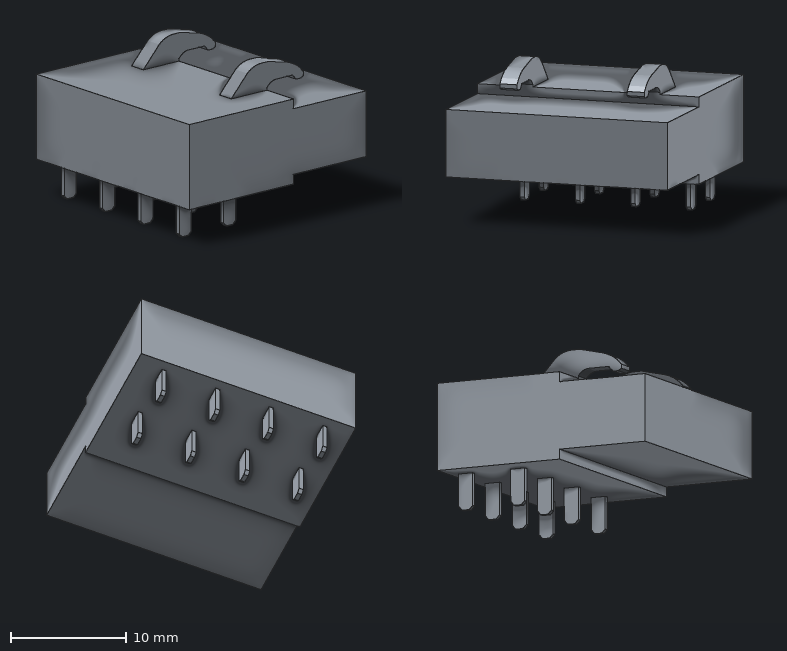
import cadquery as cq


housing_width = 20.32
housing_depth = 20.25
front_depth = 11.93
front_height = 7.7
step_height = 0.87

latch_width = 1.56
latch_spacing = 11.66
latch_height = 2.56
latch_front_y = 7.86
ramp_end_y = 9.67
ramp_end_height = 1.93
crest_front_y = 11.32
crest_rear_y = 12.1
slope_start_y = 12.27
slope_start_height = 2.52
slope_end_y = 14.35
slope_end_height = 2.05
nose_mid_y = 15.04
nose_mid_height = 1.79
nose_start_y = 15.73
nose_start_height = 1.32
tip_y = 16.13
tip_top_height = 0.9
tip_bottom_height = 0.53
hook_bottom_rear_y = 15.8
hook_bottom_front_y = 15.28
hook_bottom_height = 0.35
underside_rear_y = 14.85
underside_front_y = 12.86
underside_height = 0.8
elbow_y = 12.27
elbow_height = 0.55
root_height = 0.2

pin_columns = 4
pin_rows = 2
pin_pitch = 5.08
pin_thickness = 0.4
pin_depth = 1.38
pin_length = 3.21
pin_chamfer = 0.33
first_row_y = 1.56


def make_latch(center_x):
    """Hooked latch arm standing on the front block and reaching back over the plug block."""

    def point(y, height):
        return (y, front_height + height)

    outline = (
        cq.Workplane("YZ", origin=(center_x - latch_width / 2, 0, 0))
        .moveTo(*point(crest_rear_y, latch_height))
        .lineTo(*point(crest_front_y, latch_height))
        .tangentArcPoint(point(ramp_end_y, ramp_end_height), relative=False)
        .lineTo(*point(latch_front_y, 0))
        .lineTo(*point(front_depth, 0))
        .lineTo(*point(front_depth, root_height))
        .threePointArc(point(elbow_y, elbow_height), point(underside_front_y, underside_height))
        .lineTo(*point(underside_rear_y, underside_height))
        .lineTo(*point(hook_bottom_front_y, hook_bottom_height))
        .lineTo(*point(hook_bottom_rear_y, hook_bottom_height))
        .lineTo(*point(tip_y, tip_bottom_height))
        .lineTo(*point(tip_y, tip_top_height))
        .lineTo(*point(nose_start_y, nose_start_height))
        .threePointArc(point(nose_mid_y, nose_mid_height), point(slope_end_y, slope_end_height))
        .lineTo(*point(slope_start_y, slope_start_height))
        .close()
    )
    return outline.extrude(latch_width)


def make_housing():
    """Front block, plug block and both latch arms as one solid."""
    front_block = cq.Workplane("XY").box(
        housing_width, front_depth, front_height, centered=(True, False, False)
    )
    plug_block = (
        cq.Workplane("XY", origin=(0, 0, step_height))
        .box(housing_width, housing_depth, front_height - 2 * step_height, centered=(True, False, False))
    )
    body = front_block.union(plug_block)
    for side in (-1, 1):
        body = body.union(make_latch(side * latch_spacing / 2))
    return body


def make_pin(center_x, center_y):
    """Flat contact pin hanging from the board face, with a chamfered lower end."""
    return (
        cq.Workplane("XY", origin=(center_x, center_y, -pin_length))
        .box(pin_thickness, pin_depth, pin_length, centered=(True, True, False))
        .faces("<Z")
        .edges("|X")
        .chamfer(pin_chamfer)
    )


housing = make_housing()

pins = []
for row in range(pin_rows):
    for column in range(pin_columns):
        pin_x = (column - (pin_columns - 1) / 2) * pin_pitch
        pin_y = first_row_y + row * pin_pitch
        pins.append(make_pin(pin_x, pin_y).val())

result = cq.Compound.makeCompound([housing.val(), *pins])